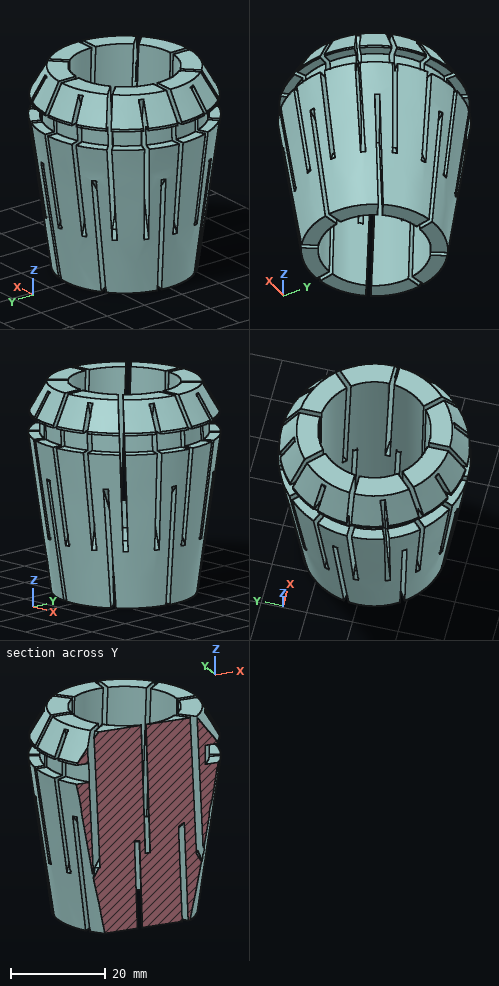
import cadquery as cq
import math

height = 46.0
bore_radius = 12.0
seat_radius = 20.5
seat_height = 34.9
seat_half_angle = 8.0
groove_radius = 18.05
groove_top = 39.1
nose_radius = 20.25
nose_cone_start = 39.6
nose_half_angle = 30.0

seat_small_radius = seat_radius - seat_height * math.tan(math.radians(seat_half_angle))
nose_small_radius = nose_radius - (height - nose_cone_start) * math.tan(math.radians(nose_half_angle))

slot_width = 1.05
slot_lean = 1.9
lean_height = 19.0
slots_per_set = 8
slot_pitch = 360.0 / slots_per_set
overshoot = 3.0

cutter_radius = 39.75
cutter_centre_radius = 53.6
cutter_centre_height = 29.4

nose_slot_outer_radius = 16.5
nose_slot_outer_floor = 15.1
nose_slot_bore_floor = 16.8
nose_slot_slope = (nose_slot_bore_floor - nose_slot_outer_floor) / (nose_slot_outer_radius - bore_radius)

seat_slot_top = 27.0
seat_slot_angle = -slot_pitch / 4


def make_body():
    """Revolved half section of the collet without slots."""
    return (
        cq.Workplane("XZ")
        .moveTo(bore_radius, 0)
        .lineTo(seat_small_radius, 0)
        .lineTo(seat_radius, seat_height)
        .lineTo(groove_radius, seat_height)
        .lineTo(groove_radius, groove_top)
        .lineTo(nose_radius, groove_top)
        .lineTo(nose_radius, nose_cone_start)
        .lineTo(nose_small_radius, height)
        .lineTo(bore_radius, height)
        .close()
        .revolve(360, (0, 0, 0), (0, 1, 0))
    )


def lean(blade):
    """Lean a blade standing in the XZ plane about its radial (X) axis."""
    return blade.rotate((0, 0, lean_height), (1, 0, lean_height), slot_lean)


def make_outer_groove():
    """Disc cutter for a groove that stays clear of the bore."""
    disc = (
        cq.Workplane("XZ")
        .center(cutter_centre_radius, cutter_centre_height)
        .circle(cutter_radius)
        .extrude(slot_width / 2, both=True)
    )
    return lean(disc)


def make_nose_slot():
    """Blade that splits the wall from the nose end down to a sloping floor."""
    inner = bore_radius - overshoot
    inner_floor = nose_slot_bore_floor + overshoot * nose_slot_slope
    outer = nose_radius + overshoot
    blade = (
        cq.Workplane("XZ")
        .moveTo(inner, inner_floor)
        .lineTo(nose_slot_outer_radius, nose_slot_outer_floor)
        .lineTo(outer, nose_slot_outer_floor)
        .lineTo(outer, height + overshoot)
        .lineTo(inner, height + overshoot)
        .close()
        .extrude(slot_width / 2, both=True)
    )
    return lean(blade)


def make_seat_slot():
    """Blade that splits the wall from the seat end up to a sloping roof."""
    seat_radius_at_top = seat_small_radius + seat_slot_top * math.tan(math.radians(seat_half_angle))
    inner = bore_radius - overshoot
    outer = seat_radius_at_top + overshoot
    inner_roof = seat_slot_top - (seat_radius_at_top - inner)
    blade = (
        cq.Workplane("XZ")
        .moveTo(inner, -overshoot)
        .lineTo(outer, -overshoot)
        .lineTo(outer, seat_slot_top + overshoot)
        .lineTo(inner, inner_roof)
        .close()
        .extrude(slot_width / 2, both=True)
    )
    return lean(blade)


def cut_around(body, cutter, count, start_angle):
    """Cut copies of a cutter equally spaced about the collet axis."""
    for index in range(count):
        angle = start_angle + index * 360.0 / count
        body = body.cut(cutter.rotate((0, 0, 0), (0, 0, 1), angle))
    return body


result = make_body()
result = cut_around(result, make_outer_groove(), 2 * slots_per_set, 0)
result = cut_around(result, make_nose_slot(), slots_per_set, 0)
result = cut_around(result, make_seat_slot(), slots_per_set, seat_slot_angle)